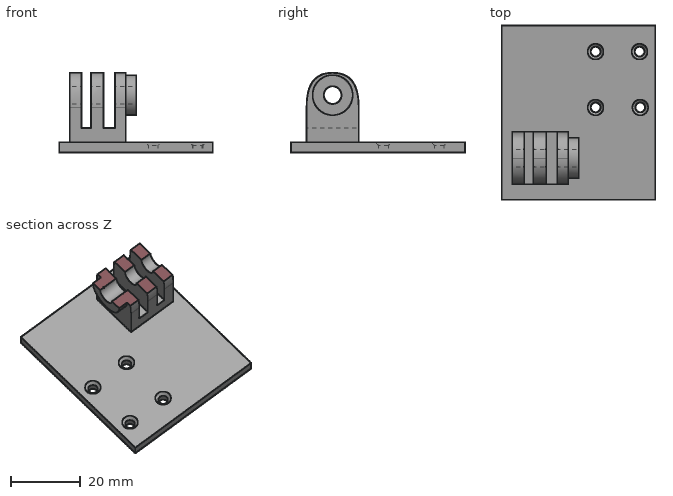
import cadquery as cq

PLATE_LENGTH = 44.0
PLATE_WIDTH = 50.0
PLATE_THICKNESS = 3.0

BLOCK_X = 3.0
BLOCK_Y = 4.5
BLOCK_LENGTH = 16.1
BLOCK_WIDTH = 15.0
BLOCK_TOP_Z = 22.92
SIDE_TOP_Z = 13.08
SIDE_HANDLE = 5.9
APEX_HANDLE = 5.55
APEX_Y = BLOCK_Y + BLOCK_WIDTH / 2

SLOTS = [(6.45, 2.65), (12.7, 3.25)]
SLOT_FLOOR_Z = 7.1

PIN_Z = 16.5
PIN_DIAMETER = 5.0
BOSS_DIAMETER = 11.5
BOSS_LENGTH = 3.0
BOSS_X = BLOCK_X + BLOCK_LENGTH

SCREW_CENTERS = [(26.9, 26.5), (26.9, 42.5), (39.5, 42.5), (39.7, 26.5)]
SCREW_DIAMETER = 2.75
SINK_DIAMETER = 4.5
SINK_ANGLE = 90.0


def make_plate():
    """The plate with its screw holes countersunk from above."""
    return (
        cq.Workplane("XY")
        .box(PLATE_LENGTH, PLATE_WIDTH, PLATE_THICKNESS, centered=False)
        .faces(">Z")
        .workplane(origin=(0, 0, PLATE_THICKNESS))
        .pushPoints(SCREW_CENTERS)
        .cskHole(SCREW_DIAMETER, SINK_DIAMETER, SINK_ANGLE)
    )


def make_block():
    """Extrude the arched side profile; its crown is two mirrored Bezier curves."""
    front_y = BLOCK_Y
    back_y = BLOCK_Y + BLOCK_WIDTH
    handle_z = SIDE_TOP_Z + SIDE_HANDLE
    apex = (APEX_Y, BLOCK_TOP_Z)
    back_crown = [
        (back_y, SIDE_TOP_Z),
        (back_y, handle_z),
        (APEX_Y + APEX_HANDLE, BLOCK_TOP_Z),
        apex,
    ]
    front_crown = [
        apex,
        (APEX_Y - APEX_HANDLE, BLOCK_TOP_Z),
        (front_y, handle_z),
        (front_y, SIDE_TOP_Z),
    ]
    return (
        cq.Workplane("YZ", origin=(BLOCK_X, 0, 0))
        .moveTo(front_y, PLATE_THICKNESS)
        .lineTo(back_y, PLATE_THICKNESS)
        .lineTo(back_y, SIDE_TOP_Z)
        .bezier(back_crown)
        .bezier(front_crown)
        .close()
        .extrude(BLOCK_LENGTH)
    )


def make_slot(start_x, width):
    height = BLOCK_TOP_Z - SLOT_FLOOR_Z
    return (
        cq.Workplane("XY")
        .box(width, BLOCK_WIDTH, height, centered=False)
        .translate((start_x, BLOCK_Y, SLOT_FLOOR_Z))
    )


def make_pin_cylinder(start_x, diameter, length):
    """A cylinder along X on the pin axis."""
    return cq.Workplane("YZ", origin=(start_x, APEX_Y, PIN_Z)).circle(diameter / 2).extrude(length)


hinge = make_block()
for slot_x, slot_width in SLOTS:
    hinge = hinge.cut(make_slot(slot_x, slot_width))
hinge = hinge.union(make_pin_cylinder(BOSS_X, BOSS_DIAMETER, BOSS_LENGTH))
hinge = hinge.cut(make_pin_cylinder(BLOCK_X, PIN_DIAMETER, BLOCK_LENGTH + BOSS_LENGTH))

result = make_plate().union(hinge)